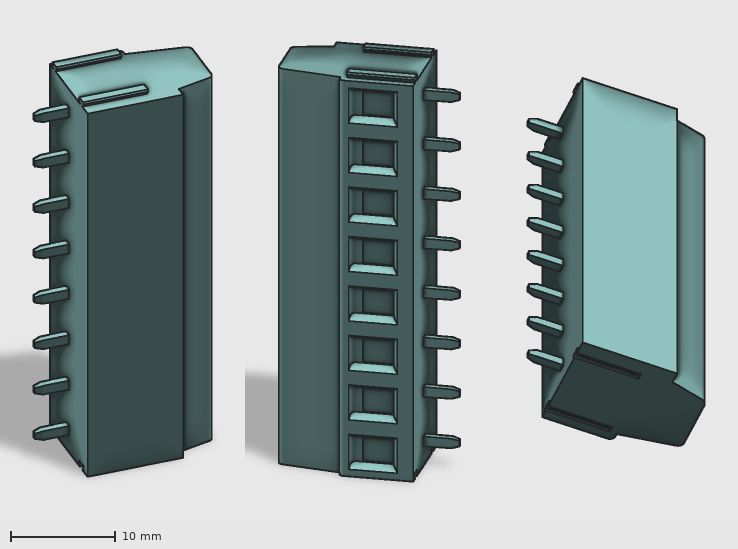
import cadquery as cq

POLE_COUNT = 8
PITCH = 5.08
BODY_HEIGHT = POLE_COUNT * PITCH

BODY_WIDTH = 10.0
BODY_DEPTH = 13.8
ENTRY_SHOULDER_DEPTH = 7.4
ENTRY_SLOPE_FOOT = 0.85
ENTRY_SLOPE_HEAD = 1.85
REAR_SHOULDER_DEPTH = 9.85
REAR_SLOPE_FOOT = 8.85
REAR_SLOPE_HEAD = 7.85
CREST_RADIUS = 0.65
SHOULDER_RADIUS = 0.6

DOVETAIL_CENTERS = (1.2, 8.28)
DOVETAIL_WIDTH = 1.2
DOVETAIL_NECK = 0.6
DOVETAIL_HEIGHT = 0.6
DOVETAIL_CREST_WIDTH = 1.0
DOVETAIL_LIP = 0.2
DOVETAIL_LENGTH = 6.7

PIN_CENTER = 4.8
PIN_WIDTH = 0.8
PIN_HEIGHT = 1.0
PIN_LENGTH = 3.5
PIN_TIP_LENGTH = 0.78
PIN_TIP_WIDTH = 0.46
PIN_TIP_HEIGHT = 0.6

ENTRY_START = 1.55
ENTRY_END = 6.35
ENTRY_HEIGHT = 3.6
FUNNEL_DEPTH = 1.0
FUNNEL_RADIUS = 0.45
FUNNEL_TAPER = 0.6
RECESS_LEDGE = 1.15
RECESS_START = ENTRY_START + FUNNEL_TAPER
RECESS_END = ENTRY_END - RECESS_LEDGE
RECESS_HEIGHT = 2.58
RECESS_DEPTH = 0.3


def make_housing():
    """Stepped and sloped profile extruded along Z over all poles."""
    outline = [
        (0, 0),
        (BODY_WIDTH, 0),
        (BODY_WIDTH, REAR_SHOULDER_DEPTH),
        (REAR_SLOPE_FOOT, REAR_SHOULDER_DEPTH),
        (REAR_SLOPE_HEAD, BODY_DEPTH),
        (ENTRY_SLOPE_HEAD, BODY_DEPTH),
        (ENTRY_SLOPE_FOOT, ENTRY_SHOULDER_DEPTH),
        (0, ENTRY_SHOULDER_DEPTH),
    ]
    housing = cq.Workplane("XY").polyline(outline).close().extrude(BODY_HEIGHT)
    housing = housing.faces(">Y").edges("|Z").fillet(CREST_RADIUS)
    shoulder_corner = cq.selectors.NearestToPointSelector((0, ENTRY_SHOULDER_DEPTH, BODY_HEIGHT / 2))
    return housing.edges("|Z").edges(shoulder_corner).fillet(SHOULDER_RADIUS)


def make_dovetail(center, base):
    """Bar along Y that is narrow at Z = base, widens upward and ends in a bevelled lip."""
    half_width = DOVETAIL_WIDTH / 2
    half_crest = DOVETAIL_CREST_WIDTH / 2
    half_neck = DOVETAIL_NECK / 2
    lip_base = base + DOVETAIL_HEIGHT - DOVETAIL_LIP
    top = base + DOVETAIL_HEIGHT
    section = [
        (center - half_neck, base),
        (center + half_neck, base),
        (center + half_width, lip_base),
        (center + half_crest, top),
        (center - half_crest, top),
        (center - half_width, lip_base),
    ]
    return cq.Workplane("XZ").polyline(section).close().extrude(-DOVETAIL_LENGTH)


def make_pin(level):
    """Rectangular pin pointing toward -Y with a tapered tip."""
    shank_length = PIN_LENGTH - PIN_TIP_LENGTH
    shank = (
        cq.Workplane("XZ", origin=(PIN_CENTER, 0, level))
        .rect(PIN_WIDTH, PIN_HEIGHT)
        .extrude(shank_length)
    )
    tip = (
        cq.Workplane("XZ", origin=(PIN_CENTER, -shank_length, level))
        .rect(PIN_WIDTH, PIN_HEIGHT)
        .workplane(offset=PIN_TIP_LENGTH)
        .rect(PIN_TIP_WIDTH, PIN_TIP_HEIGHT)
        .loft(ruled=True)
    )
    return shank.union(tip)


def make_wire_entry(level):
    """Cutter for one wire entry: tapered on three sides, rounded on the +Y side."""
    mouth_center = (ENTRY_START + ENTRY_END) / 2
    throat_center = (RECESS_START + ENTRY_END) / 2
    funnel = (
        cq.Workplane("YZ", origin=(0, mouth_center, level))
        .rect(ENTRY_END - ENTRY_START, ENTRY_HEIGHT)
        .workplane(offset=FUNNEL_DEPTH)
        .center(throat_center - mouth_center, 0)
        .rect(ENTRY_END - RECESS_START, RECESS_HEIGHT)
        .loft(ruled=True)
    )
    inner_corner = cq.selectors.NearestToPointSelector((FUNNEL_DEPTH, ENTRY_END, level))
    funnel = funnel.edges("|Z").edges(inner_corner).fillet(FUNNEL_RADIUS)
    recess_center = (RECESS_START + RECESS_END) / 2
    recess = (
        cq.Workplane("YZ", origin=(FUNNEL_DEPTH, recess_center, level))
        .rect(RECESS_END - RECESS_START, RECESS_HEIGHT)
        .extrude(RECESS_DEPTH)
    )
    return funnel.union(recess)


result = make_housing()

for dovetail_center in DOVETAIL_CENTERS:
    result = result.union(make_dovetail(dovetail_center, BODY_HEIGHT))
    result = result.cut(make_dovetail(dovetail_center, 0))

for pole in range(POLE_COUNT):
    pole_level = PITCH / 2 + pole * PITCH
    result = result.cut(make_wire_entry(pole_level))
    result = result.union(make_pin(pole_level))